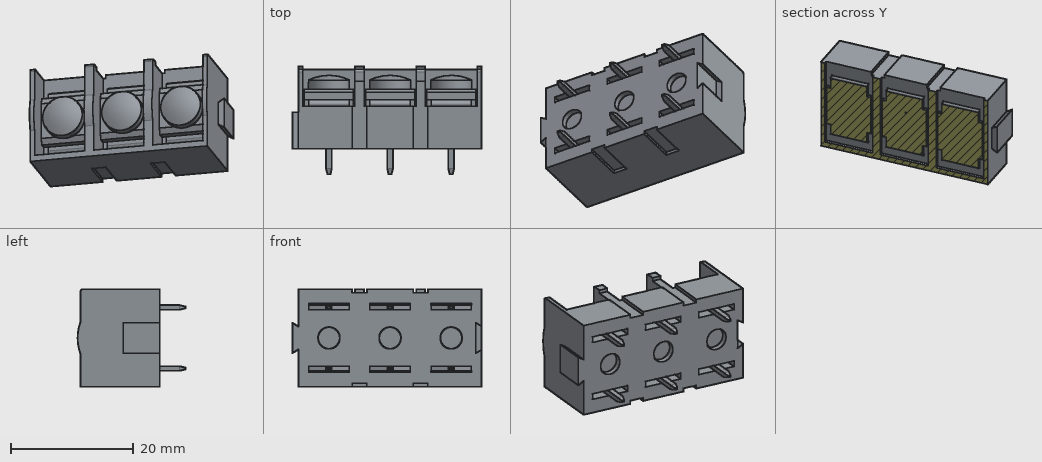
import cadquery as cq


pole_count = 3
pitch = 10.0
body_length = pole_count * pitch
body_height = 16.0
body_depth = 13.0
pocket_floor = 7.0
end_wall = 0.75
divider = 2 * end_wall
side_plate = 1.0
mid_height = body_height / 2
wall_corner_radius = 0.43

crown_rise = 0.48
crown_half_chord = 2.65

notch_width = 2.4
notch_depth = 0.57
tab_start = 11.05

dovetail_length = 6.0
dovetail_depth = 1.0
dovetail_half_outer = 2.5
dovetail_half_inner = 1.9

leg_thickness = 0.8
leg_width = 6.6
leg_inner = 4.6
slot_height = 1.0
plate_width = 8.0
plate_height = 7.0
plate_thickness = 1.0
plate_top = pocket_floor + plate_thickness
bend_radius = 0.78

pin_width = 1.0
pin_length = 4.2
pin_tip_length = 1.0
pin_tip_width = 0.5
pin_tip_thickness = 0.3
shoulder_low = 2.0
shoulder_high = 2.7

washer_size = 8.0
washer_top = 9.72
washer_bevel_height = 0.45
washer_bevel_run = 1.0
head_diameter = 6.7
head_edge = 11.24
head_top = 12.02
shank_diameter = 3.5
shank_end = 1.0
screw_hole_diameter = 3.6


def box(x_range, y_range, z_range):
    """Axis-aligned box between the given limits."""
    corner = (x_range[0], y_range[0], z_range[0])
    size = [high - low for low, high in (x_range, y_range, z_range)]
    return cq.Workplane("XY").box(*size, centered=False).translate(corner)


def cylinder_y(diameter, x, y_start, y_end):
    """Cylinder along Y on the mid plane of the block."""
    axis_start = cq.Vector(x, y_start, mid_height)
    solid = cq.Solid.makeCylinder(diameter / 2, y_end - y_start, axis_start, cq.Vector(0, 1, 0))
    return cq.Workplane(obj=solid)


def pole_wall(x_start, thickness):
    """Wall beside a pocket: rounded top corner and a crowned free edge."""
    slab = box((x_start, x_start + thickness), (0, body_depth), (0, body_height))
    slab = slab.edges("|X and >Y and >Z").fillet(wall_corner_radius)
    crown = (
        cq.Workplane("YZ", origin=(x_start, 0, 0))
        .moveTo(body_depth, mid_height - crown_half_chord)
        .threePointArc(
            (body_depth + crown_rise, mid_height),
            (body_depth, mid_height + crown_half_chord),
        )
        .close()
        .extrude(thickness)
    )
    return slab.union(crown)


def dovetail(x_outer, x_inner):
    """Prism along Y, wide at x_outer and narrow at x_inner."""
    profile = [
        (x_outer, mid_height - dovetail_half_outer),
        (x_inner, mid_height - dovetail_half_inner),
        (x_inner, mid_height + dovetail_half_inner),
        (x_outer, mid_height + dovetail_half_outer),
    ]
    return cq.Workplane("XZ").polyline(profile).close().extrude(-dovetail_length)


def pole_cutouts(x):
    """Screw hole and the two leg slots of one pole."""
    cuts = cylinder_y(screw_hole_diameter, x, 0, pocket_floor)
    x_range = (x - leg_width / 2, x + leg_width / 2)
    slot = box(
        x_range,
        (0, pocket_floor),
        (mid_height + leg_inner, mid_height + leg_inner + slot_height),
    )
    return cuts.union(slot).union(slot.mirror("XY", (0, 0, mid_height)))


def housing():
    body = box((0, body_length), (0, pocket_floor), (0, body_height))
    body = body.union(box((0, body_length), (0, body_depth), (0, side_plate)))
    body = body.union(pole_wall(0, end_wall))
    body = body.union(pole_wall(body_length - end_wall, end_wall))
    for boundary in range(1, pole_count):
        x = boundary * pitch
        notch_x = (x - notch_width / 2, x + notch_width / 2)
        body = body.union(pole_wall(x - divider / 2, divider))
        body = body.cut(box(notch_x, (0, tab_start), (body_height - notch_depth, body_height)))
        body = body.cut(box(notch_x, (0, pocket_floor), (0, notch_depth)))
    body = body.union(dovetail(-dovetail_depth, 0))
    body = body.cut(dovetail(body_length - dovetail_depth, body_length))
    for pole in range(pole_count):
        body = body.cut(pole_cutouts((pole + 0.5) * pitch))
    return body


def terminal_leg(x):
    """Upper leg with sloping shoulders and a tapered solder pin."""
    half_leg = leg_width / 2
    half_pin = pin_width / 2
    tip_start = pin_tip_length - pin_length
    z_start = mid_height + leg_inner
    profile = [
        (x - half_leg, plate_top),
        (x - half_leg, shoulder_high),
        (x - half_pin, shoulder_low),
        (x - half_pin, tip_start),
        (x + half_pin, tip_start),
        (x + half_pin, shoulder_low),
        (x + half_leg, shoulder_high),
        (x + half_leg, plate_top),
    ]
    leg = (
        cq.Workplane("XY", origin=(0, 0, z_start))
        .polyline(profile)
        .close()
        .extrude(leg_thickness)
        .edges("|X and >Y and >Z")
        .fillet(bend_radius)
    )
    tip = (
        cq.Workplane("XZ", origin=(x, tip_start, z_start + leg_thickness / 2))
        .rect(pin_width, leg_thickness)
        .workplane(offset=pin_tip_length)
        .rect(pin_tip_width, pin_tip_thickness)
        .loft()
    )
    return leg.union(tip)


def terminal(x):
    """U-shaped terminal: a wide clamping plate, a narrower bridge and two legs."""
    plate_y = (pocket_floor, plate_top)
    leg_z = (mid_height - leg_inner, mid_height + leg_inner)
    plate_z = (mid_height - plate_height / 2, mid_height + plate_height / 2)
    plate = box((x - plate_width / 2, x + plate_width / 2), plate_y, plate_z)
    bridge = box((x - leg_width / 2, x + leg_width / 2), plate_y, leg_z)
    leg = terminal_leg(x)
    return plate.union(bridge).union(leg).union(leg.mirror("XY", (0, 0, mid_height)))


def washer(x):
    """Square washer, bevelled along its upper and lower edges."""
    half = washer_size / 2
    bevel_start = washer_top - washer_bevel_height
    bevel_z = half - washer_bevel_run
    profile = [
        (plate_top, mid_height - half),
        (bevel_start, mid_height - half),
        (washer_top, mid_height - bevel_z),
        (washer_top, mid_height + bevel_z),
        (bevel_start, mid_height + half),
        (plate_top, mid_height + half),
    ]
    return cq.Workplane("YZ", origin=(x - half, 0, 0)).polyline(profile).close().extrude(washer_size)


def screw(x):
    """Screw with a domed head; its shank ends inside the screw hole."""
    head_radius = head_diameter / 2
    dome_rise = head_top - head_edge
    dome_radius = (head_radius**2 + dome_rise**2) / (2 * dome_rise)
    half_radius = head_radius / 2
    dome_centre = head_top - dome_radius
    arc_middle = (half_radius, dome_centre + (dome_radius**2 - half_radius**2) ** 0.5)
    head = (
        cq.Workplane("XY", origin=(x, 0, mid_height))
        .moveTo(0, washer_top)
        .lineTo(head_radius, washer_top)
        .lineTo(head_radius, head_edge)
        .threePointArc(arc_middle, (0, head_top))
        .close()
        .revolve(360, (0, 0, 0), (0, 1, 0))
    )
    return head.union(cylinder_y(shank_diameter, x, shank_end, washer_top))


result = housing()
for pole in range(pole_count):
    pole_x = (pole + 0.5) * pitch
    result = result.union(terminal(pole_x)).union(washer(pole_x)).union(screw(pole_x))